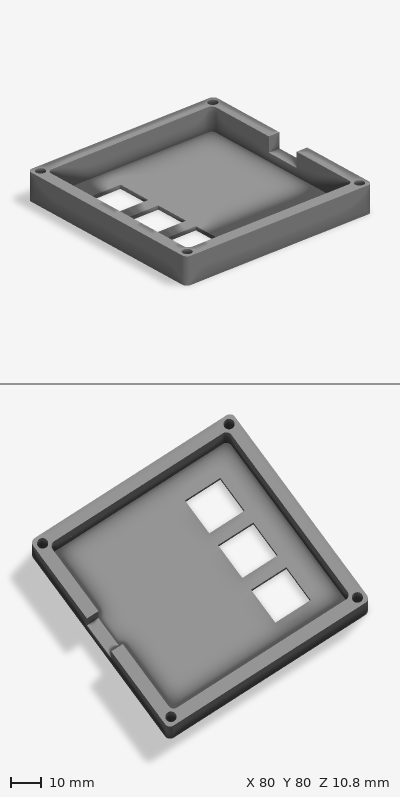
import cadquery as cq

side = 80.0
total_height = 10.8
outer_radius = 2.0

plate_thickness = 1.5
spacer_height = 3.3
rim_height = total_height - plate_thickness - spacer_height
spacer_base = plate_thickness
rim_base = spacer_base + spacer_height

wall = 4.6
cavity_side = side - 2 * wall
cavity_radius = 2.0

screw_diameter = 3.7
screw_inset = 3.0
screw_spacing = side - 2 * screw_inset

window_side = 14.0
window_pitch = 19.0
window_count = 3
window_row_inset = 21.0
window_row_y = window_row_inset - side / 2

notch_width = window_side


def rounded_block(width, height, radius, base):
    """Square block with rounded vertical edges, centred on the Z axis."""
    return (
        cq.Workplane("XY", origin=(0, 0, base))
        .rect(width, width)
        .extrude(height)
        .edges("|Z")
        .fillet(radius)
    )


def make_frame(height, base):
    """Square ring around the cavity, with a screw hole in each corner."""
    cavity = rounded_block(cavity_side, height, cavity_radius, base)
    screw_holes = (
        cq.Workplane("XY", origin=(0, 0, base))
        .rect(screw_spacing, screw_spacing, forConstruction=True)
        .vertices()
        .circle(screw_diameter / 2)
        .extrude(height)
    )
    return rounded_block(side, height, outer_radius, base).cut(cavity).cut(screw_holes)


def make_plate():
    """Floor of the case, pierced by the row of windows."""
    windows = (
        cq.Workplane("XY", origin=(0, window_row_y, 0))
        .rarray(window_pitch, 0.8, window_count, 1)
        .rect(window_side, window_side)
        .extrude(plate_thickness)
    )
    return rounded_block(side, plate_thickness, outer_radius, 0).cut(windows)


def make_rim():
    """Upper frame, opened at the back by the cable notch."""
    notch = (
        cq.Workplane("XY", origin=(0, (side - wall) / 2, rim_base))
        .rect(notch_width, wall)
        .extrude(rim_height)
    )
    return make_frame(rim_height, rim_base).cut(notch)


plate = make_plate()
spacer = make_frame(spacer_height, spacer_base)
rim = make_rim()

result = cq.Compound.makeCompound([plate.val(), spacer.val(), rim.val()])